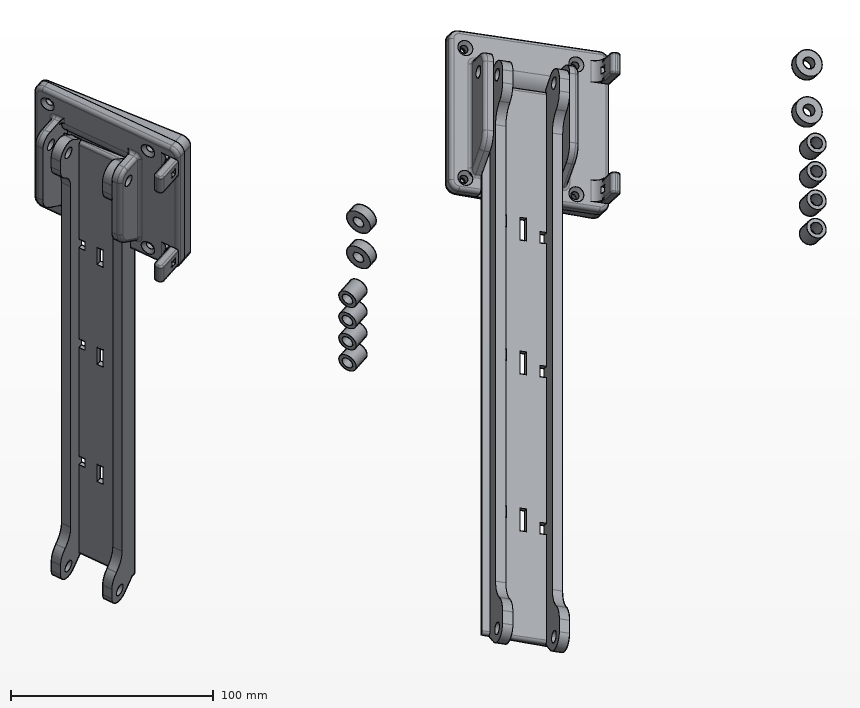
import cadquery as cq
import math


plate_size = 85.0
plate_bottom = 241.0
plate_thickness = 5.5
plate_corner_radius = 5.0
plate_edge_round = 2.0
plate_top = plate_bottom + plate_size
cover_back_right = 11.3
taper_angle = 3.5
taper_slope = math.tan(math.radians(taper_angle))
cover_back_left = cover_back_right - plate_size * taper_slope

screw_hole_diameter = 4.0
screw_head_diameter = 8.0
screw_left = 8.2
screw_pitch_x = 59.0
screw_bottom = plate_bottom + 7.0
screw_pitch_z = 69.0

hinge_hole_diameter = 6.0
lug_radius = 7.2
hinge_y = -9.5
hinge_low = lug_radius
hinge_high = 301.0
arm_left = 17.0
arm_width = 39.7
arm_right = arm_left + arm_width
arm_back_right = 4.0
arm_back_left = arm_back_right - arm_width * taper_slope
web_bottom = hinge_low
web_top = 299.8
web_end_round = 1.7
rail_thickness = 5.5
rail_front = -7.5
rail_lefts = (21.2, arm_right - rail_thickness)
lug_straight = 7.0
lug_convex_radius = 10.5
lug_concave_radius = 13.5

slot_width = 3.5
slot_length = 12.0
short_slot_length = slot_length / 2
slot_centers_z = (71.0, 154.2, 225.0)
web_left = rail_lefts[0] + rail_thickness
web_right = rail_lefts[1]
web_middle = (web_left + web_right) / 2

arm_side_gap = 0.7
recess_left = arm_left - arm_side_gap
recess_right = arm_right
recess_middle = (recess_left + recess_right) / 2
recess_top = 308.5
recess_round = 11.0

ear_thickness = 5.0
ear_front = -16.8
ear_top = 310.5
ear_bottom = 249.5
ear_flank_top = 261.8
ear_top_radius = 6.0
ear_bottom_radius = 11.5
ear_edge_round = 2.0
ear_foot_round = 1.7

clip_thickness = 5.0
clip_height = 11.3
clip_front = -15.0
clip_tip_round = 2.0
clip_edge_round = 1.0
clip_foot_radius = 4.8
clip_hole_size = 3.5
clip_hole_y = -4.0
clip_centers_z = (250.8, 314.2)

overall_width = 197.7
overall_height = 342.5
loose_bore_diameter = hinge_hole_diameter
washer_diameter = 14.0
washer_thickness = 5.5
washer_pitch = 25.0
washer_highest_z = overall_height - washer_diameter / 2
washer_centers_z = (washer_highest_z, washer_highest_z - washer_pitch)
loose_x = overall_width - washer_diameter / 2
bushing_diameter = 10.3
bushing_length = 10.0
bushing_count = 4
bushing_lowest_z = 244.3
bushing_pitch = 15.0


def box(x_min, x_max, y_min, y_max, z_min, z_max):
    """Box given by its limits along each axis."""
    size = (x_max - x_min, y_max - y_min, z_max - z_min)
    return cq.Workplane("XY").box(*size, centered=False).translate((x_min, y_min, z_min))


def cylinder_y(x, z, diameter, y_back, y_front):
    """Cylinder along Y between y_back and y_front."""
    disc = cq.Workplane("XZ", origin=(x, y_back, z)).circle(diameter / 2)
    return disc.extrude(y_back - y_front)


def screw_positions():
    """X and Z of the four screw holes."""
    return [
        (screw_left + i * screw_pitch_x, screw_bottom + k * screw_pitch_z)
        for i in (0, 1)
        for k in (0, 1)
    ]


def make_cover():
    """Tapered cover whose back slopes across X."""
    outline = [
        (0, plate_thickness),
        (plate_size, plate_thickness),
        (plate_size, cover_back_right),
        (0, cover_back_left),
    ]
    cover = cq.Workplane("XY", origin=(0, 0, plate_bottom)).polyline(outline).close().extrude(plate_size)
    cover = cover.edges("|Y").fillet(plate_corner_radius)
    for x, z in screw_positions():
        cover = cover.cut(cylinder_y(x, z, screw_hole_diameter, cover_back_right, 0))
    return cover


def countersink(x, z):
    """Screw hole through the plate with a 90 degree countersink at the front."""
    head_radius = screw_head_diameter / 2
    hole_radius = screw_hole_diameter / 2
    cone = cq.Solid.makeCone(
        head_radius, hole_radius, head_radius - hole_radius, cq.Vector(x, 0, z), cq.Vector(0, 1, 0)
    )
    return cylinder_y(x, z, screw_hole_diameter, plate_thickness, 0).add(cone).combine()


def arm_recess():
    """Cut for the arm, open at the bottom of the plate and with a rounded upper lip.

    It reaches in front of the plate far enough to trim the ear feet.
    """
    lip_angle = math.acos(1 - plate_thickness / recess_round)

    def lip_point(angle):
        return (recess_round * (1 - math.cos(angle)), recess_top - recess_round * math.sin(angle))

    return (
        cq.Workplane("YZ", origin=(recess_left, 0, 0))
        .moveTo(-ear_foot_round, plate_bottom)
        .lineTo(-ear_foot_round, recess_top)
        .lineTo(0, recess_top)
        .threePointArc(lip_point(lip_angle / 2), lip_point(lip_angle))
        .lineTo(plate_thickness, plate_bottom)
        .close()
        .extrude(recess_right - recess_left)
    )


def make_left_ear():
    """Ear with a rounded upper corner and a sloping lower flank."""
    ear = (
        cq.Workplane("YZ", origin=(recess_left - ear_thickness, 0, 0))
        .polyline([(0, ear_bottom), (0, ear_top), (ear_front, ear_top), (ear_front, ear_flank_top)])
        .close()
        .extrude(ear_thickness)
    )
    ear = ear.edges("|X").edges("<Y").edges(">Z").fillet(ear_top_radius)
    ear = ear.edges("|X").edges(cq.NearestToPointSelector((recess_left, ear_front, ear_flank_top)))
    ear = ear.fillet(ear_bottom_radius)
    ear = ear.faces("<X").edges("not(>Y)").fillet(ear_edge_round)
    return ear


def foot_selector(ear):
    """Selects the edges where an ear stands on the front face of the plate."""
    bounds = ear.val().BoundingBox()
    margin = ear_foot_round / 2
    low = (bounds.xmin - margin, -margin, bounds.zmin - margin)
    high = (bounds.xmax + margin, margin, bounds.zmax + margin)
    return cq.selectors.BoxSelector(low, high, boundingbox=True)


def make_clip(center_z):
    """Upright clip on the right edge with a concave foot and a square hole."""
    clip_left = plate_size - clip_thickness
    clip = box(clip_left, plate_size, clip_front, 0, -clip_height / 2, clip_height / 2)
    clip = clip.faces("<Y").edges("|Z").fillet(clip_tip_round)
    clip = clip.faces(">Z or <Z").edges("not(>Y)").fillet(clip_edge_round)
    foot_left = clip_left - clip_foot_radius
    foot = box(foot_left, clip_left, -clip_foot_radius, 0, -clip_height / 2, clip_height / 2)
    hollow = (
        cq.Workplane("XY", origin=(foot_left, -clip_foot_radius, -clip_height / 2))
        .circle(clip_foot_radius)
        .extrude(clip_height)
    )
    half = clip_hole_size / 2
    hole = box(foot_left, plate_size, clip_hole_y - half, clip_hole_y + half, -half, half)
    return clip.union(foot.cut(hollow)).cut(hole).translate((0, 0, center_z))


def make_plate():
    """Mounting plate with recess, ears, clips and screw holes."""
    plate = box(0, plate_size, 0, plate_thickness, plate_bottom, plate_top)
    plate = plate.edges("|Y").fillet(plate_corner_radius)
    plate = plate.faces("<Y").edges().fillet(plate_edge_round)
    left_ear = make_left_ear()
    ears = (left_ear, left_ear.mirror("YZ", (recess_middle, 0, 0)))
    for ear in ears:
        plate = plate.union(ear)
    for ear in ears:
        plate = plate.edges(foot_selector(ear)).fillet(ear_foot_round)
    plate = plate.cut(arm_recess())
    plate = plate.cut(
        cq.Workplane("YZ")
        .center(hinge_y, hinge_high)
        .circle(hinge_hole_diameter / 2)
        .extrude(recess_right + ear_thickness)
    )
    for center_z in clip_centers_z:
        plate = plate.union(make_clip(center_z))
    for x, z in screw_positions():
        plate = plate.cut(countersink(x, z))
    return plate


def make_rail(left):
    """Rail with a hinge lug at each end, the upper half mirroring the lower."""
    lug_front = hinge_y - lug_radius
    middle_z = (hinge_low + hinge_high) / 2
    root_y = arm_back_left

    tangent_angle = math.acos(lug_radius / (root_y - hinge_y))

    def lug_point(angle):
        return (hinge_y + lug_radius * math.cos(angle), hinge_low - lug_radius * math.sin(angle))

    rise = rail_front - lug_front
    blend_angle = math.acos(1 - rise / (lug_convex_radius + lug_concave_radius))
    blend_start = hinge_low + lug_straight
    blend_end = blend_start + (lug_convex_radius + lug_concave_radius) * math.sin(blend_angle)

    def convex_point(angle):
        y = lug_front + lug_convex_radius * (1 - math.cos(angle))
        return (y, blend_start + lug_convex_radius * math.sin(angle))

    def concave_point(angle):
        y = rail_front - lug_concave_radius * (1 - math.cos(angle))
        return (y, blend_end - lug_concave_radius * math.sin(angle))

    half = (
        cq.Workplane("YZ", origin=(left, 0, 0))
        .moveTo(root_y, middle_z)
        .lineTo(root_y, hinge_low)
        .lineTo(*lug_point(tangent_angle))
        .threePointArc(lug_point((tangent_angle + math.pi) / 2), (lug_front, hinge_low))
        .lineTo(lug_front, blend_start)
        .threePointArc(convex_point(blend_angle / 2), convex_point(blend_angle))
        .threePointArc(concave_point(blend_angle / 2), (rail_front, blend_end))
        .lineTo(rail_front, middle_z)
        .close()
        .extrude(rail_thickness)
    )
    hole = (
        cq.Workplane("YZ", origin=(left, hinge_y, hinge_low))
        .circle(hinge_hole_diameter / 2)
        .extrude(rail_thickness)
    )
    half = half.cut(hole)
    return half.union(half.mirror("XY", (0, 0, middle_z)))


def slot_group(center_z):
    """A long middle slot, a short slot high on the left and one low on the right."""
    z_min = center_z - slot_length / 2
    z_max = center_z + slot_length / 2

    def slot(left, bottom, top):
        return box(left, left + slot_width, 0, arm_back_right, bottom, top)

    high = slot(web_left, z_max - short_slot_length, z_max)
    long = slot(web_middle - slot_width / 2, z_min, z_max)
    low = slot(web_right - slot_width, z_min, z_min + short_slot_length)
    return high.union(long).union(low)


def make_arm():
    """Web with a sloping back, rails with lugs, and groups of slots."""
    section = [(arm_left, 0), (arm_right, 0), (arm_right, arm_back_right), (arm_left, arm_back_left)]
    web = cq.Workplane("XY", origin=(0, 0, web_bottom)).polyline(section).close()
    web = web.extrude(web_top - web_bottom)
    arm = web.faces("<Y").edges("|X").fillet(web_end_round)
    for left in rail_lefts:
        arm = arm.union(make_rail(left))
    for center_z in slot_centers_z:
        arm = arm.cut(slot_group(center_z))
    return arm


def make_ring(z, diameter, y_back, length):
    """Plain ring along Y with the common bore."""
    outer = cylinder_y(loose_x, z, diameter, y_back, y_back - length)
    return outer.cut(cylinder_y(loose_x, z, loose_bore_diameter, y_back, y_back - length))


cover = make_cover()
plate = make_plate()
arm = make_arm()
washers = [make_ring(z, washer_diameter, washer_thickness, washer_thickness) for z in washer_centers_z]
bushings = [
    make_ring(bushing_lowest_z + i * bushing_pitch, bushing_diameter, 0, bushing_length)
    for i in range(bushing_count)
]

result = cq.Compound.makeCompound(
    [cover.val(), plate.val(), arm.val()]
    + [washer.val() for washer in washers]
    + [bushing.val() for bushing in bushings]
)